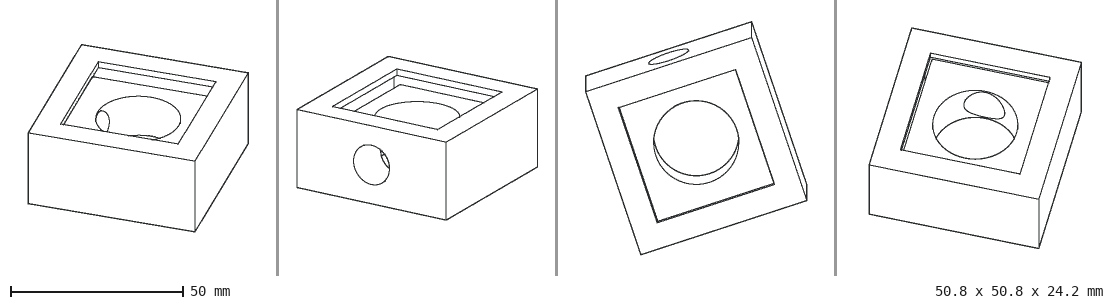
import cadquery as cq

side = 50.8
height = 24.25

opening = 35.8
rim_thickness = 2.0
floor_depth = 5.45

undercut_x = 1.9
undercut_y = 2.1

bore_diameter = 24.7
side_hole_diameter = 12.2

cavity_x = opening + 2 * undercut_x
cavity_y = opening + 2 * undercut_y
cavity_height = height - 2 * rim_thickness
core_height = height - 2 * floor_depth


def centered_box(size_x, size_y, size_z):
    """Box centred on the Z axis and on the mid height of the block."""
    return cq.Workplane("XY", origin=(0, 0, height / 2)).box(size_x, size_y, size_z)


def outer_block():
    """Solid block standing on Z = 0."""
    return centered_box(side, side, height)


def cavity():
    """Square mouths through both faces, joined to the wider space behind the rims."""
    mouths = centered_box(opening, opening, height)
    return mouths.union(centered_box(cavity_x, cavity_y, cavity_height))


def core():
    """Web as wide as the mouth, joined to the X walls and clear of the Y walls."""
    return centered_box(cavity_x, opening, core_height)


def central_bore():
    """Vertical bore through the core."""
    return cq.Workplane("XY").circle(bore_diameter / 2).extrude(height)


def side_hole():
    """Hole at mid height from the -X face into the central bore."""
    face = cq.Workplane("YZ", origin=(-side / 2, 0, height / 2))
    return face.circle(side_hole_diameter / 2).extrude(side / 2)


result = outer_block().cut(cavity()).union(core())
result = result.cut(central_bore()).cut(side_hole())